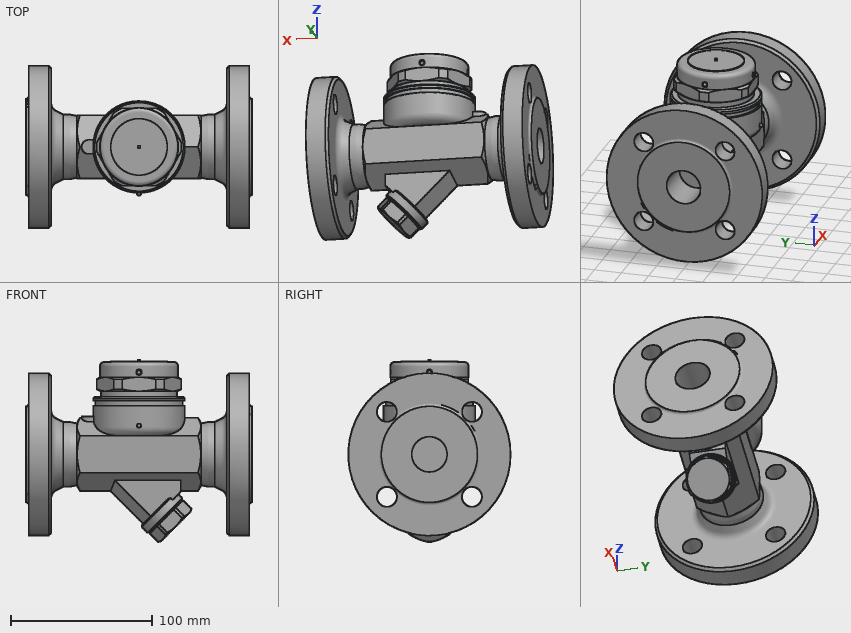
import cadquery as cq
import math

BODY_ACROSS_FLATS = 45.0
BODY_HALF_LENGTH = 44.0
BODY_END_RADIUS = 22.0
CORNER_CHAMFER_ANGLE = 30.0

FACE_TO_FACE = 160.0
FLANGE_DIAMETER = 115.0
FLANGE_THICKNESS = 18.0
FLANGE_CHAMFER = 2.0
RAISED_FACE_DIAMETER = 68.0
RAISED_FACE_HEIGHT = 2.0
BOLT_CIRCLE = 85.0
BOLT_HOLE_DIAMETER = 14.0
BOLT_COUNT = 4
FIRST_BOLT_ANGLE = 45.0
NECK_DIAMETER = 46.0
NECK_INNER_X = 48.9
NECK_OUTER_X = 53.5
HUB_CONE_END_X = 58.6
HUB_CONE_ANGLE = 26.0
BORE_DIAMETER = 25.0

BOWL_DIAMETER = 65.0
BOWL_BOTTOM_Z = 13.2
BOWL_FILLET = 5.8
BOWL_TOP_Z = 34.4
COLLAR_GROOVE_DIAMETER = 62.0
COLLAR_BOTTOM_Z = 37.8
COLLAR_TOP_Z = 40.7
COLLAR_CHAMFER = 1.2
COVER_NECK_DIAMETER = 54.0
COVER_HEX_BOTTOM_Z = 44.7
COVER_HEX_TOP_Z = 54.5
COVER_HEX_ACROSS_FLATS = 55.0
COVER_HEX_CORNER_DIAMETER = 60.0
CAP_DIAMETER = 55.5
CAP_TOP_Z = 65.4
CAP_FILLET = 3.2
DISC_DIAMETER = 40.0
DISC_HEIGHT = 0.6
TOP_PIN_DIAMETER = 2.0
TOP_PIN_HEIGHT = 1.0
DIMPLE_DIAMETER = 3.0
DIMPLE_RIM_DIAMETER = 4.0
DIMPLE_DEPTH = 2.5
DIMPLE_Z = 58.1
DIMPLE_COUNT = 4
STUD_DIAMETER = 3.0
STUD_Z = 20.3
STUD_REACH = 34.5

LUG_DIAMETER = 10.0
LUG_X = -35.6
LUG_TOP_Z = 26.8

BRANCH_PLANE = cq.Plane(origin=(0, 0, 0), xDir=(1, 0, 1), normal=(1, 0, -1))
BRANCH_HALF_WIDTH = 13.0
BRANCH_FLAT_EDGE = -25.1
BRANCH_SIDE_SLOPE = 60.0
BRANCH_END = 39.6
BRANCH_RIGHT_X = 29.5
PLUG_OFFSET = -17.6
PLUG_COLLAR_DIAMETER = 34.8
PLUG_COLLAR_START = 36.8
PLUG_COLLAR_END = 44.4
PLUG_COLLAR_CHAMFER = 0.8
PLUG_HEX_ACROSS_FLATS = 30.0
PLUG_HEX_CORNER_DIAMETER = 33.4
PLUG_HEX_END = 54.42
PLUG_GROOVE_DIAMETER = 31.0
PLUG_GROOVE_WIDTH = 0.5


def slope(angle):
    """Rise over run of an angle in degrees."""
    return math.tan(math.radians(angle))


def hex_corner_radius(across_flats):
    return across_flats / math.sqrt(3)


def hex_prism(across_flats, bottom, top):
    """Hexagonal prism along Z with corners on the X axis."""
    corner_circle = 2 * hex_corner_radius(across_flats)
    return cq.Workplane("XY").workplane(offset=bottom).polygon(6, corner_circle).extrude(top - bottom)


def corner_envelope(end_radius, outer_radius, bottom, top, chamfer_bottom=True):
    """Turned envelope about Z: a cylinder with chamfered rims, to trim hexagon corners."""
    drop = (outer_radius - end_radius) * slope(CORNER_CHAMFER_ANGLE)
    profile = cq.Workplane("XZ").moveTo(0, bottom)
    if chamfer_bottom:
        profile = profile.lineTo(end_radius, bottom).lineTo(outer_radius, bottom + drop)
    else:
        profile = profile.lineTo(outer_radius, bottom)
    profile = profile.lineTo(outer_radius, top - drop).lineTo(end_radius, top).lineTo(0, top)
    return profile.close().revolve(360, (0, 0, 0), (0, 1, 0))


def cylinder(diameter, bottom, top):
    """Cylinder on the Z axis."""
    return cq.Workplane("XY").workplane(offset=bottom).circle(diameter / 2).extrude(top - bottom)


def make_body():
    """Hexagonal bar with its corners chamfered at both ends."""
    prism = hex_prism(BODY_ACROSS_FLATS, -BODY_HALF_LENGTH, BODY_HALF_LENGTH)
    corner_radius = hex_corner_radius(BODY_ACROSS_FLATS)
    envelope = corner_envelope(BODY_END_RADIUS, corner_radius, -BODY_HALF_LENGTH, BODY_HALF_LENGTH)
    return prism.intersect(envelope).rotate((0, 0, 0), (0, 1, 0), 90)


def make_flanged_end():
    """Neck, hub and flange on the +X end, with bolt holes and a blind bore."""
    face_x = FACE_TO_FACE / 2
    rim_x = face_x - RAISED_FACE_HEIGHT
    back_x = face_x - FLANGE_THICKNESS
    flange_r = FLANGE_DIAMETER / 2
    raised_r = RAISED_FACE_DIAMETER / 2
    neck_r = NECK_DIAMETER / 2

    cone_r = neck_r + (HUB_CONE_END_X - NECK_OUTER_X) * slope(HUB_CONE_ANGLE)
    cone_angle = math.radians(HUB_CONE_ANGLE)
    hub_fillet = (back_x - HUB_CONE_END_X) / (1 - math.sin(cone_angle))
    hub_top_r = cone_r + hub_fillet * math.cos(cone_angle)
    middle_angle = cone_angle / 2 - math.pi / 4
    hub_mid = (back_x - hub_fillet + hub_fillet * math.cos(middle_angle),
               hub_top_r + hub_fillet * math.sin(middle_angle))
    foot_offset = RAISED_FACE_HEIGHT * (1 - math.sqrt(0.5))

    solid = (
        cq.Workplane("XY")
        .lineTo(0, BODY_END_RADIUS)
        .lineTo(BODY_HALF_LENGTH, BODY_END_RADIUS)
        .lineTo(NECK_INNER_X, neck_r)
        .lineTo(NECK_OUTER_X, neck_r)
        .lineTo(HUB_CONE_END_X, cone_r)
        .threePointArc(hub_mid, (back_x, hub_top_r))
        .lineTo(back_x, flange_r - FLANGE_CHAMFER)
        .lineTo(back_x + FLANGE_CHAMFER, flange_r)
        .lineTo(rim_x, flange_r)
        .lineTo(rim_x, raised_r + RAISED_FACE_HEIGHT)
        .threePointArc((rim_x + foot_offset, raised_r + foot_offset), (face_x, raised_r))
        .lineTo(face_x, 0)
        .close()
        .revolve(360, (0, 0, 0), (1, 0, 0))
    )
    bolt_holes = (
        cq.Workplane("YZ")
        .workplane(offset=back_x)
        .polarArray(BOLT_CIRCLE / 2, FIRST_BOLT_ANGLE, 360, BOLT_COUNT)
        .circle(BOLT_HOLE_DIAMETER / 2)
        .extrude(FLANGE_THICKNESS)
    )
    bore = (
        cq.Workplane("YZ")
        .workplane(offset=NECK_INNER_X)
        .circle(BORE_DIAMETER / 2)
        .extrude(face_x - NECK_INNER_X)
    )
    return solid.cut(bolt_holes).cut(bore)


def make_dimple():
    """Cutter on the +X side of the cap: countersunk rim and a round-bottomed hole."""
    surface = CAP_DIAMETER / 2
    hole_r = DIMPLE_DIAMETER / 2
    rim_r = DIMPLE_RIM_DIAMETER / 2
    bottom = surface - DIMPLE_DEPTH
    shoulder = bottom + hole_r
    foot_offset = hole_r * math.sqrt(0.5)
    profile = (
        cq.Workplane("XY")
        .moveTo(bottom, 0)
        .threePointArc((shoulder - foot_offset, foot_offset), (shoulder, hole_r))
        .lineTo(surface - (rim_r - hole_r), hole_r)
        .lineTo(surface, rim_r)
        .lineTo(surface + rim_r, rim_r)
        .lineTo(surface + rim_r, 0)
        .close()
    )
    return profile.revolve(360, (0, 0, 0), (1, 0, 0)).translate((0, 0, DIMPLE_Z))


def make_bowl_and_cover():
    """Bowl, collar, hexagon and cap stacked along Z, with dimples around the cap."""
    bowl = cylinder(BOWL_DIAMETER, BOWL_BOTTOM_Z, BOWL_TOP_Z).faces("<Z").edges().fillet(BOWL_FILLET)
    groove = cylinder(COLLAR_GROOVE_DIAMETER, BOWL_TOP_Z, COLLAR_BOTTOM_Z)
    collar = cylinder(BOWL_DIAMETER, COLLAR_BOTTOM_Z, COLLAR_TOP_Z).faces(">Z").chamfer(COLLAR_CHAMFER)
    neck = cylinder(COVER_NECK_DIAMETER, COLLAR_TOP_Z, COVER_HEX_BOTTOM_Z)
    cap = cylinder(CAP_DIAMETER, COVER_HEX_TOP_Z, CAP_TOP_Z).faces(">Z").edges().fillet(CAP_FILLET)
    disc = cylinder(DISC_DIAMETER, CAP_TOP_Z, CAP_TOP_Z + DISC_HEIGHT)
    pin_bottom = CAP_TOP_Z + DISC_HEIGHT
    pin = cylinder(TOP_PIN_DIAMETER, pin_bottom, pin_bottom + TOP_PIN_HEIGHT)
    envelope = corner_envelope(
        COVER_HEX_ACROSS_FLATS / 2, COVER_HEX_CORNER_DIAMETER / 2, COVER_HEX_BOTTOM_Z, COVER_HEX_TOP_Z
    )
    nut = hex_prism(COVER_HEX_ACROSS_FLATS, COVER_HEX_BOTTOM_Z, COVER_HEX_TOP_Z).intersect(envelope)

    dimple = make_dimple()
    for index in range(DIMPLE_COUNT):
        cap = cap.cut(dimple.rotate((0, 0, 0), (0, 0, 1), index * 360 / DIMPLE_COUNT))

    solid = bowl
    for piece in (groove, collar, neck, nut, cap, disc, pin):
        solid = solid.union(piece)
    return solid


def make_stud():
    """Small round-ended stud on the -Y side of the bowl."""
    radius = STUD_DIAMETER / 2
    return cq.Workplane("XY").sphere(radius).translate((0, radius - STUD_REACH, STUD_Z))


def make_lug():
    """Upright lug with a round end, joined to the bowl by a straight web."""
    lug = cylinder(LUG_DIAMETER, 0, LUG_TOP_Z)
    web = cq.Workplane("XY").box(-LUG_X, LUG_DIAMETER, LUG_TOP_Z, centered=(False, True, False))
    return lug.union(web).translate((LUG_X, 0, 0))


def make_branch():
    """Strainer leg: flat sides, a ridge on its lower edge, and cut upright at its right end."""
    ridge = BRANCH_FLAT_EDGE - BRANCH_HALF_WIDTH / slope(BRANCH_SIDE_SLOPE)
    upper_edge = BRANCH_RIGHT_X / math.sqrt(2)
    leg = (
        cq.Workplane(BRANCH_PLANE)
        .moveTo(ridge, 0)
        .lineTo(BRANCH_FLAT_EDGE, -BRANCH_HALF_WIDTH)
        .lineTo(upper_edge, -BRANCH_HALF_WIDTH)
        .lineTo(upper_edge, BRANCH_HALF_WIDTH)
        .lineTo(BRANCH_FLAT_EDGE, BRANCH_HALF_WIDTH)
        .close()
        .extrude(BRANCH_END)
    )
    cutter_size = FACE_TO_FACE
    right_side = (
        cq.Workplane("XY")
        .box(cutter_size, cutter_size, cutter_size)
        .translate((BRANCH_RIGHT_X + cutter_size / 2, 0, 0))
    )
    return leg.cut(right_side)


def make_plug():
    """Strainer plug: round collar, narrow groove and chamfered hexagon head."""
    head_start = PLUG_COLLAR_END + PLUG_GROOVE_WIDTH
    collar = cylinder(PLUG_COLLAR_DIAMETER, PLUG_COLLAR_START, PLUG_COLLAR_END)
    collar = collar.edges("%CIRCLE").chamfer(PLUG_COLLAR_CHAMFER)
    groove = cylinder(PLUG_GROOVE_DIAMETER, PLUG_COLLAR_END, head_start)
    envelope = corner_envelope(
        PLUG_HEX_ACROSS_FLATS / 2,
        PLUG_HEX_CORNER_DIAMETER / 2,
        head_start,
        PLUG_HEX_END,
        chamfer_bottom=False,
    )
    head = hex_prism(PLUG_HEX_ACROSS_FLATS, head_start, PLUG_HEX_END).intersect(envelope)
    plug = collar.union(groove).union(head).translate((PLUG_OFFSET, 0, 0))
    return plug.val().moved(BRANCH_PLANE.location)


flanged_end = make_flanged_end()
result = make_body()
for part in (
    flanged_end,
    flanged_end.mirror("YZ"),
    make_branch(),
    make_plug(),
    make_lug(),
    make_bowl_and_cover(),
    make_stud(),
):
    result = result.union(part)